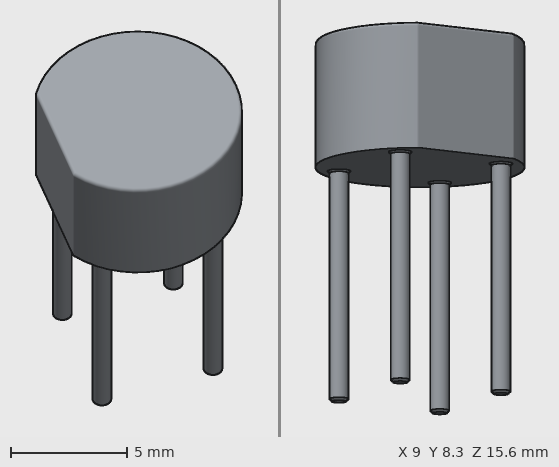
import cadquery as cq
import math

total_height = 15.6
housing_diameter = 9.0
housing_depth = 8.3
housing_height = 5.5
edge_radius = 0.15

pin_diameter = 0.83
pin_pitch = 5.07
shoulder_diameter = 1.0
tip_chamfer = 0.11

housing_radius = housing_diameter / 2
flat_y = housing_radius - housing_depth
flat_half_width = math.sqrt(housing_radius**2 - flat_y**2)
pin_length = total_height - housing_height
pin_radius = pin_diameter / 2
shoulder_radius = shoulder_diameter / 2
shoulder_height = shoulder_radius - pin_radius


def make_housing():
    """Flatted cylinder with rounded vertical corners and a rounded top rim."""
    body = (
        cq.Workplane("XY")
        .moveTo(-flat_half_width, flat_y)
        .threePointArc((0, housing_radius), (flat_half_width, flat_y))
        .close()
        .extrude(housing_height)
    )
    body = body.edges("|Z").fillet(edge_radius)
    return body.faces(">Z").edges().fillet(edge_radius)


def make_pin(x, y):
    """Round pin hanging from the housing underside, flared at the root and chamfered at the tip."""
    half_profile = (
        cq.Workplane("XZ")
        .moveTo(0, 0)
        .lineTo(shoulder_radius, 0)
        .lineTo(pin_radius, -shoulder_height)
        .lineTo(pin_radius, -pin_length + tip_chamfer)
        .lineTo(pin_radius - tip_chamfer, -pin_length)
        .lineTo(0, -pin_length)
        .close()
    )
    return half_profile.revolve(360, (0, 0, 0), (0, 1, 0)).translate((x, y, 0))


housing = make_housing()

pins = []
for x_side in (-1, 1):
    for y_side in (-1, 1):
        pins.append(make_pin(x_side * pin_pitch / 2, y_side * pin_pitch / 2))

result = cq.Compound.makeCompound([housing.val(), *[pin.val() for pin in pins]])